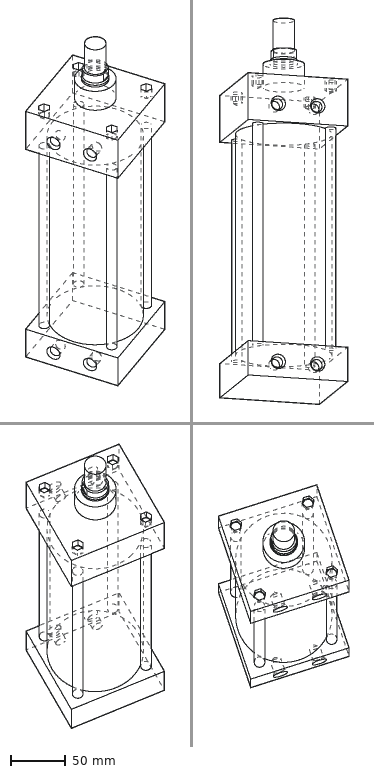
import cadquery as cq
import math

total_height = 349.2
block_side = 95.5

cap_height = 32.5
barrel_length = 209.2
head_height = 44.5
neck_height = 22.0
barrel_diameter = 88.7
neck_diameter = 38.5

tie_rod_diameter = 9.8
tie_rod_offset = 35.0

flange_diameter = 70.0
rod_head_diameter = 17.5
flush_depth = 10.5

socket_width = 9.8
socket_depth = 8.7
socket_cone_diameter = 9.0
hexagon_half_angle = 30.0

port_diameter = 10.0
port_mouth = 13.5
port_mouth_depth = 3.5
port_depth = 14.0
port_offset = 19.0
cap_port_height = 14.5
head_port_height = 17.0

drill_tip_angle = 118.0

shaft_diameter = 25.5
shaft_height = 2.0
cone_height = 2.0
collar_diameter = 24.0
collar_height = 8.5
flat_spacing = 22.0
thread_diameter = 20.0

head_bottom = cap_height + barrel_length
head_top = head_bottom + head_height
neck_top = head_top + neck_height


def drill_tip_height(radius):
    return radius / math.tan(math.radians(drill_tip_angle / 2))


def make_port_cutter():
    """Cutter along -Z from the origin, with a tapered mouth and a conical bottom."""
    radius = port_diameter / 2
    return (
        cq.Workplane("XZ")
        .moveTo(0, 0)
        .lineTo(port_mouth / 2, 0)
        .lineTo(radius, -port_mouth_depth)
        .lineTo(radius, -port_depth)
        .lineTo(0, -port_depth - drill_tip_height(radius))
        .close()
        .revolve(360, (0, 0, 0), (0, 1, 0))
    )


def make_socket_cutter():
    """Cutter along -Z from the origin, with two of the six flats facing -Y and +Y."""
    corner_diameter = socket_width / math.cos(math.radians(hexagon_half_angle))
    cone_radius = socket_cone_diameter / 2
    hexagon = cq.Workplane("XY").polygon(6, corner_diameter).extrude(-socket_depth)
    cone = (
        cq.Workplane("XZ")
        .moveTo(0, -socket_depth)
        .lineTo(cone_radius, -socket_depth)
        .lineTo(0, -socket_depth - drill_tip_height(cone_radius))
        .close()
        .revolve(360, (0, 0, 0), (0, 1, 0))
    )
    return hexagon.union(cone)


def corner_points():
    return [(x, y) for x in (-tie_rod_offset, tie_rod_offset) for y in (-tie_rod_offset, tie_rod_offset)]


def make_block(bottom, height):
    return cq.Workplane("XY").workplane(offset=bottom).rect(block_side, block_side).extrude(height)


def make_disc(diameter, bottom, height):
    return cq.Workplane("XY").workplane(offset=bottom).circle(diameter / 2).extrude(height)


def make_housing():
    barrel = make_disc(barrel_diameter, cap_height, barrel_length)
    neck = make_disc(neck_diameter, head_top, neck_height)
    housing = make_block(0, cap_height).union(barrel)
    for x, y in corner_points():
        housing = housing.union(make_disc(tie_rod_diameter, cap_height, barrel_length).translate((x, y, 0)))
    housing = housing.union(make_block(head_bottom, head_height)).union(neck)

    flush_bottom = head_top - flush_depth
    housing = housing.union(make_disc(flange_diameter, flush_bottom, flush_depth), clean=False)
    rod_head = make_disc(rod_head_diameter, flush_bottom, flush_depth)
    socket = make_socket_cutter().translate((0, 0, head_top))
    for x, y in corner_points():
        housing = housing.union(rod_head.translate((x, y, 0)), clean=False)
        housing = housing.cut(socket.translate((x, y, 0)), clean=False)

    port = make_port_cutter().rotate((0, 0, 0), (1, 0, 0), 90)
    for z in (cap_port_height, head_bottom + head_port_height):
        for x in (-port_offset, port_offset):
            housing = housing.cut(port.translate((x, -block_side / 2, z)), clean=False)
    return housing


def make_rod():
    cone_bottom = neck_top + shaft_height
    collar_bottom = cone_bottom + cone_height
    collar_top = collar_bottom + collar_height
    collar_radius = collar_diameter / 2
    shaft_radius = shaft_diameter / 2
    thread_radius = thread_diameter / 2
    rod = (
        cq.Workplane("XZ")
        .moveTo(0, neck_top)
        .lineTo(shaft_radius, neck_top)
        .lineTo(shaft_radius, cone_bottom)
        .lineTo(collar_radius, collar_bottom)
        .lineTo(collar_radius, collar_top)
        .lineTo(thread_radius, collar_top)
        .lineTo(thread_radius, total_height)
        .lineTo(0, total_height)
        .close()
        .revolve(360, (0, 0, 0), (0, 1, 0))
    )
    flat_depth = collar_radius - flat_spacing / 2
    for side in (-1, 1):
        flat_cut = (
            cq.Workplane("XY")
            .workplane(offset=collar_bottom)
            .center(side * (flat_spacing + flat_depth) / 2, 0)
            .rect(flat_depth, collar_diameter)
            .extrude(collar_height)
        )
        rod = rod.cut(flat_cut)
    return rod


housing = make_housing()
rod = make_rod()
result = cq.Compound.makeCompound([housing.solids().val(), rod.solids().val()])